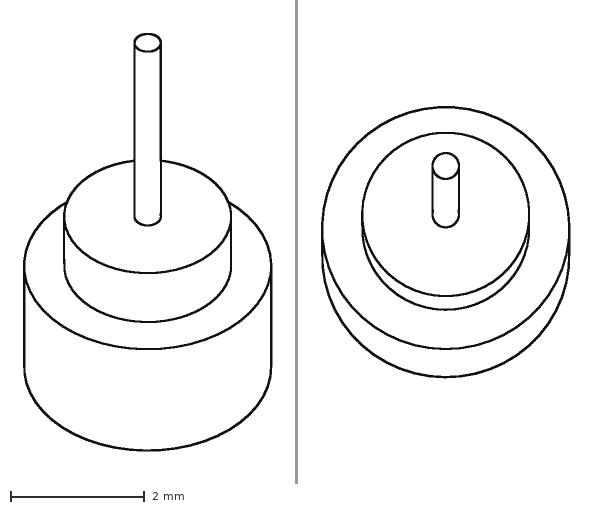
import cadquery as cq

total_height = 6.6
body_diameter = 3.7
body_height = 2.065
collar_diameter = 2.5
collar_height = 0.995
pin_diameter = 0.395

collar_top = body_height + collar_height
pin_height = total_height - collar_top


def cylinder(diameter, height, base_z):
    """Upright cylinder on the Z axis, standing at base_z."""
    return cq.Workplane("XY").workplane(offset=base_z).circle(diameter / 2).extrude(height)


body = cylinder(body_diameter, body_height, 0)
collar = cylinder(collar_diameter, collar_height, body_height)
pin = cylinder(pin_diameter, pin_height, collar_top)

result = body.union(collar).union(pin)